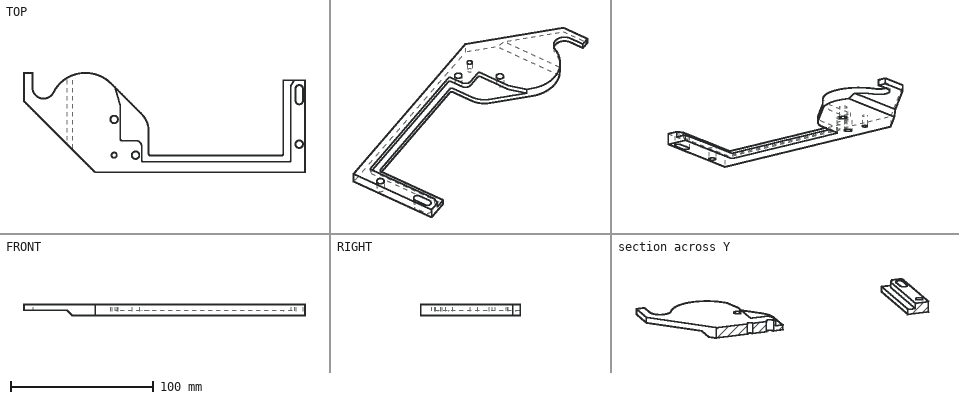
import cadquery as cq
import math

length = 198.0
disc_top = 70.0
thickness = 8.0
corner_cut = 50.0
arm_top = 65.0
arm_inner_x = 182.5
beam_top = 11.9

disc_radius = 25.3
disc_x = 43.4
disc_y = disc_top - disc_radius
hook_width = 6.1
notch_radius = 7.7
notch_x = hook_width + notch_radius
notch_y = disc_y + math.sqrt((disc_radius + notch_radius)**2 - (disc_x - notch_x)**2)
shoulder_x = 88.0
shoulder_radius = 16.6
opening_corner_radius = 1.2

ledge_height = 4.0
step_left_x = 68.0
step_slant_y = 47.0
step_slant_run = 1.9
step_slant_rise = 6.5
step_shelf_y = 22.4
step_boss_x = 83.0
step_boss_radius = 4.4
step_beam_y = 7.3
step_arm_x = 188.0
step_arm_slant_run = 2.4
step_arm_slant_y = 60.8
step_corner_radius = 1.0

relief_depth = 3.8
relief_x = 30.3

hole_diameter = 5.1
pin_diameter = 3.5
head_hole_x = 63.5
head_hole_y = 37.2
lower_hole_y = 12.0
boss_hole_x = 78.6
arm_hole_x = 193.8
arm_hole_y = 19.8
slot_bottom = 48.0
slot_top = 61.4


def corner_edges(body, x, y):
    """Select the vertical edge at a plan position."""
    reach = 0.1
    box = cq.selectors.BoxSelector((x - reach, y - reach, -thickness),
                                   (x + reach, y + reach, 2 * thickness))
    return body.edges("|Z").edges(box)


def notch_disc_contact():
    """Point where the notch circle touches the head circle."""
    share = disc_radius / (disc_radius + notch_radius)
    return (disc_x + share * (notch_x - disc_x), disc_y + share * (notch_y - disc_y))


def make_plate():
    tangent = disc_radius * math.sqrt(0.5)
    tangent_x = disc_x + tangent
    tangent_y = disc_y + tangent
    shoulder_y = tangent_x + tangent_y - shoulder_x
    plate = (
        cq.Workplane("XY")
        .moveTo(corner_cut, 0)
        .lineTo(length, 0)
        .lineTo(length, arm_top)
        .lineTo(arm_inner_x, arm_top)
        .lineTo(arm_inner_x, beam_top)
        .lineTo(shoulder_x, beam_top)
        .lineTo(shoulder_x, shoulder_y)
        .lineTo(tangent_x, tangent_y)
        .threePointArc((disc_x, disc_top), notch_disc_contact())
        .threePointArc((notch_x, notch_y - notch_radius), (hook_width, notch_y))
        .lineTo(hook_width, disc_top)
        .lineTo(0, disc_top)
        .lineTo(0, corner_cut)
        .close()
        .extrude(thickness)
    )
    plate = corner_edges(plate, shoulder_x, shoulder_y).fillet(shoulder_radius)
    for x in (shoulder_x, arm_inner_x):
        plate = corner_edges(plate, x, beam_top).fillet(opening_corner_radius)
    return plate


def make_step_cutter():
    end_y = disc_top
    left_slope = step_slant_run / step_slant_rise
    left_end_x = step_left_x - left_slope * (end_y - step_slant_y)
    arm_slope = step_arm_slant_run / (arm_top - step_arm_slant_y)
    arm_end_x = step_arm_x + arm_slope * (end_y - step_arm_slant_y)
    outline = [
        (left_end_x, end_y),
        (step_left_x, step_slant_y),
        (step_left_x, step_shelf_y),
        (step_boss_x, step_shelf_y),
        (step_boss_x, step_beam_y),
        (step_arm_x, step_beam_y),
        (step_arm_x, step_arm_slant_y),
        (arm_end_x, end_y),
    ]
    cutter = (cq.Workplane("XY").workplane(offset=ledge_height)
              .polyline(outline).close().extrude(thickness))
    cutter = corner_edges(cutter, step_boss_x, step_shelf_y).fillet(step_boss_radius)
    for x, y in ((step_left_x, step_shelf_y), (step_boss_x, step_beam_y), (step_arm_x, step_beam_y)):
        cutter = corner_edges(cutter, x, y).fillet(step_corner_radius)
    return cutter


def make_relief_cutter():
    profile = [(0, 0), (relief_x + relief_depth, 0), (relief_x, relief_depth), (0, relief_depth)]
    return cq.Workplane("XZ").polyline(profile).close().extrude(-disc_top)


def cut_holes(body):
    holes = [
        (head_hole_x, head_hole_y, hole_diameter),
        (head_hole_x, lower_hole_y, pin_diameter),
        (boss_hole_x, lower_hole_y, hole_diameter),
        (arm_hole_x, arm_hole_y, hole_diameter),
    ]
    for x, y, diameter in holes:
        body = body.cut(cq.Workplane("XY").center(x, y).circle(diameter / 2).extrude(thickness))
    slot = (cq.Workplane("XY").center(arm_hole_x, (slot_bottom + slot_top) / 2)
            .slot2D(slot_top - slot_bottom, hole_diameter, 90).extrude(thickness))
    return body.cut(slot)


plate = make_plate().cut(make_step_cutter()).cut(make_relief_cutter())
result = cut_holes(plate)